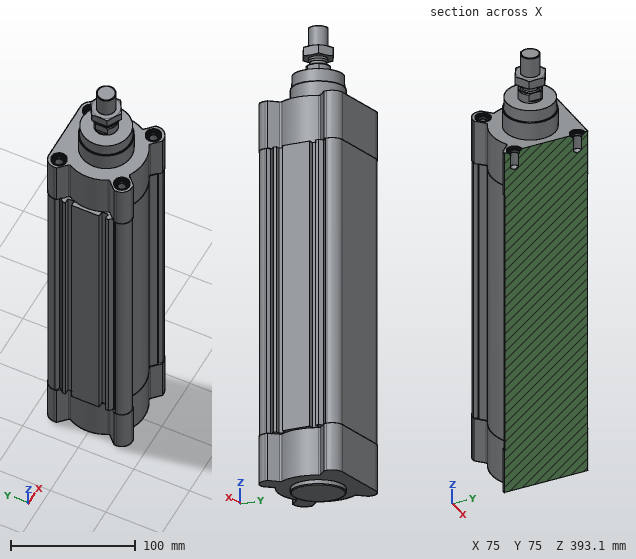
import cadquery as cq
import math

SPIGOT_HEIGHT = 4.1
CAP_HEIGHT = 40.0
TUBE_LENGTH = 241.0
COLLAR_HEIGHT = 16.5
SCRAPER_HEIGHT = 10.5
SHOULDER_HEIGHT = 8.6
THREAD_LENGTH = 32.4

REAR_CAP_Z = SPIGOT_HEIGHT
TUBE_Z = REAR_CAP_Z + CAP_HEIGHT
HEAD_CAP_Z = TUBE_Z + TUBE_LENGTH
HEAD_FACE_Z = HEAD_CAP_Z + CAP_HEIGHT
SCRAPER_Z = HEAD_FACE_Z + COLLAR_HEIGHT
SCRAPER_TOP_Z = SCRAPER_Z + SCRAPER_HEIGHT
SHOULDER_Z = SCRAPER_TOP_Z + SHOULDER_HEIGHT
ROD_TOP_Z = SHOULDER_Z + THREAD_LENGTH

HALF_WIDTH = 37.5
SCREW_OFFSET = 28.25
BARREL_RADIUS = 34.5
JUNCTION_RADIUS = 1.5
TUBE_INSET = 0.25
CAP_WALL_START = 25.8

GROOVE_OUTER = 27.1
GROOVE_FLOOR_OUTER = 24.8
GROOVE_FLOOR_INNER = 23.6
GROOVE_FLOOR = 34.3

PLATE_HALF_WIDTH = 12.4
SLOT_EDGE = 18.0
SLOT_FLOOR = 32.5

COLLAR_DIAMETER = 45.0
COLLAR_CHAMFER = 0.6
SPIGOT_CHAMFER = 0.8
SCRAPER_BASE_DIAMETER = 43.0
SCRAPER_TOP_DIAMETER = 42.4

SCREW_STEPS = [(13.2, 0.6), (12.0, 1.2), (10.4, 1.8), (8.8, 2.4), (8.0, 4.0), (6.65, 16.0)]
DRILL_TIP_ANGLE = 118.0

ROD_DIAMETER = 20.0
ROD_FLATS = 17.0
FLATS_GAP = 1.5
ROD_CHAMFER = 0.8
ROD_SEAT_DEPTH = CAP_HEIGHT
TIP_DIAMETER = 14.38
TIP_HEIGHT = 0.4
THREAD_DIAMETER = 16.0
NECK_DIAMETER = 13.9
NECK_TOP = 4.7
NECK_TAPER = 1.6
NECK_FOOT = 0.8
NUT_SIDES = 6
NUT_FLATS = 24.0
NUT_HEIGHT = 8.0
NUT_CHAMFER_DIAMETER = 23.6
NUT_CHAMFER_HEIGHT = 0.5
NUT_DISTANCE = 17.9
NUT_Z = ROD_TOP_Z - NUT_DISTANCE - NUT_HEIGHT


def barrel_point(radius, wall_offset):
    """Where a 45 degree boss wall, out = along + wall_offset, meets the round barrel."""
    along = (math.sqrt(2 * radius**2 - wall_offset**2) - wall_offset) / 2
    return along, along + wall_offset


def trace(outline, points):
    for point in points:
        outline = outline.lineTo(*point)
    return outline


def draw_top(outer):
    """Outline from the middle of the flat +Y edge round the +X +Y corner."""
    corner_mid = SCREW_OFFSET + (outer - SCREW_OFFSET) / math.sqrt(2)
    outline = cq.Workplane("XY").moveTo(0, outer).lineTo(SCREW_OFFSET, outer)
    return outline.threePointArc((corner_mid, corner_mid), (outer, SCREW_OFFSET))


def draw_bottom(outline, outer, boss, junction, barrel_radius):
    """Outline on from the +X side: the +X -Y corner, its boss wall and the barrel to the Y axis."""
    corner_mid = SCREW_OFFSET + (outer - SCREW_OFFSET) / math.sqrt(2)
    outline = outline.lineTo(outer, -SCREW_OFFSET)
    outline = outline.threePointArc((corner_mid, -corner_mid), (SCREW_OFFSET, -outer))
    outline = trace(outline, [(y, -x) for x, y in boss])
    along, out = junction
    outline = outline.lineTo(along, -out)
    half_angle = math.atan2(along, out) / 2
    barrel_mid = (barrel_radius * math.sin(half_angle), -barrel_radius * math.cos(half_angle))
    return outline.threePointArc(barrel_mid, (0, -barrel_radius))


def extrude_section(outline, height, z, junctions):
    """Extrude the +X half outline, round its wall-to-barrel junctions and mirror it to a whole section."""
    half = outline.close().extrude(height)
    for x, y in junctions:
        nearest = cq.selectors.NearestToPointSelector((x, y, height / 2))
        half = half.edges(nearest).fillet(JUNCTION_RADIUS)
    return half.union(half.mirror("YZ")).translate((0, 0, z))


def cap(z):
    """End cap with its rear face at height z."""
    along, out = barrel_point(BARREL_RADIUS, HALF_WIDTH - CAP_WALL_START)
    boss = [(HALF_WIDTH, CAP_WALL_START)]
    outline = trace(draw_top(HALF_WIDTH), boss + [(out, along)])
    outline = outline.threePointArc((BARREL_RADIUS, 0), (out, -along))
    outline = outline.lineTo(HALF_WIDTH, -CAP_WALL_START)
    outline = draw_bottom(outline, HALF_WIDTH, boss, (along, out), BARREL_RADIUS)
    return extrude_section(outline, CAP_HEIGHT, z, [(out, along), (out, -along), (along, -out)])


def tube():
    """Barrel tube with grooved bosses, and a plate between two slots on each X side."""
    outer = HALF_WIDTH - TUBE_INSET
    barrel_radius = BARREL_RADIUS - TUBE_INSET
    along, out = barrel_point(barrel_radius, GROOVE_FLOOR - GROOVE_FLOOR_INNER)
    boss = [
        (outer, GROOVE_OUTER),
        (GROOVE_FLOOR, GROOVE_FLOOR_OUTER),
        (GROOVE_FLOOR, GROOVE_FLOOR_INNER),
    ]
    lip_and_slot = [
        (outer, GROOVE_FLOOR_INNER - (outer - GROOVE_FLOOR)),
        (outer, SLOT_EDGE),
        (SLOT_FLOOR, SLOT_EDGE),
        (SLOT_FLOOR, PLATE_HALF_WIDTH),
        (outer, PLATE_HALF_WIDTH),
    ]
    side = boss + lip_and_slot
    outline = trace(draw_top(outer), side)
    outline = trace(outline, [(x, -y) for x, y in reversed(side)])
    outline = draw_bottom(outline, outer, boss, (along, out), barrel_radius)
    return extrude_section(outline, TUBE_LENGTH, TUBE_Z, [(along, -out)])


def disc(diameter, height, z):
    return cq.Workplane("XY").workplane(offset=z).circle(diameter / 2).extrude(height)


def spigot():
    return disc(COLLAR_DIAMETER, SPIGOT_HEIGHT, 0).faces("<Z").chamfer(SPIGOT_CHAMFER)


def collar():
    return disc(COLLAR_DIAMETER, COLLAR_HEIGHT, HEAD_FACE_Z).faces(">Z").chamfer(COLLAR_CHAMFER)


def scraper():
    return (
        cq.Workplane("XY")
        .workplane(offset=SCRAPER_Z)
        .circle(SCRAPER_BASE_DIAMETER / 2)
        .workplane(offset=SCRAPER_HEIGHT)
        .circle(SCRAPER_TOP_DIAMETER / 2)
        .loft(combine=True)
    )


def screw_recess():
    """Stepped recess of one cap screw, with its mouth at the origin and a conical bottom."""
    profile = cq.Workplane("XZ").moveTo(0, 0)
    depth = 0
    for diameter, floor in SCREW_STEPS:
        profile = profile.lineTo(diameter / 2, -depth).lineTo(diameter / 2, -floor)
        depth = floor
    radius = SCREW_STEPS[-1][0] / 2
    tip = radius / math.tan(math.radians(DRILL_TIP_ANGLE / 2))
    profile = profile.lineTo(0, -depth - tip).close()
    return profile.revolve(360, (0, 0, 0), (0, 1, 0))


def make_housing():
    body = cap(REAR_CAP_Z).union(tube()).union(cap(HEAD_CAP_Z))
    body = body.union(spigot()).union(collar()).union(scraper())
    for x in (-SCREW_OFFSET, SCREW_OFFSET):
        for y in (-SCREW_OFFSET, SCREW_OFFSET):
            body = body.cut(screw_recess().translate((x, y, HEAD_FACE_Z)))
    seat_z = HEAD_FACE_Z - ROD_SEAT_DEPTH
    return body.cut(disc(ROD_DIAMETER, SCRAPER_TOP_Z - seat_z, seat_z))


def make_rod():
    thread_radius = THREAD_DIAMETER / 2
    neck_radius = NECK_DIAMETER / 2
    shank_z = HEAD_FACE_Z - ROD_SEAT_DEPTH
    neck_top_z = SHOULDER_Z + NECK_TOP
    rod = (
        cq.Workplane("XZ")
        .moveTo(0, shank_z)
        .lineTo(ROD_DIAMETER / 2, shank_z)
        .lineTo(ROD_DIAMETER / 2, SHOULDER_Z - ROD_CHAMFER)
        .lineTo(ROD_DIAMETER / 2 - ROD_CHAMFER, SHOULDER_Z)
        .lineTo(thread_radius, SHOULDER_Z)
        .lineTo(neck_radius, SHOULDER_Z + NECK_FOOT)
        .lineTo(neck_radius, neck_top_z - NECK_TAPER)
        .lineTo(thread_radius, neck_top_z)
        .lineTo(thread_radius, ROD_TOP_Z - TIP_HEIGHT)
        .lineTo(TIP_DIAMETER / 2, ROD_TOP_Z)
        .lineTo(0, ROD_TOP_Z)
        .close()
        .revolve(360, (0, 0, 0), (0, 1, 0))
    )
    flats_z = SCRAPER_TOP_Z + FLATS_GAP
    cheek_depth = (ROD_DIAMETER - ROD_FLATS) / 2
    for side in (-1, 1):
        cheek = cq.Workplane("XY").box(
            cheek_depth, ROD_DIAMETER, SHOULDER_Z - flats_z, centered=(True, True, False)
        )
        rod = rod.cut(cheek.translate((side * (ROD_FLATS + cheek_depth) / 2, 0, flats_z)))
    return rod


def make_nut():
    half_side_angle = 180 / NUT_SIDES
    corner_diameter = NUT_FLATS / math.cos(math.radians(half_side_angle))
    chamfer_width = (corner_diameter - NUT_CHAMFER_DIAMETER) / 2
    nut = (
        cq.Workplane("XY")
        .workplane(offset=NUT_Z)
        .transformed(rotate=(0, 0, half_side_angle))
        .polygon(NUT_SIDES, corner_diameter)
        .circle(THREAD_DIAMETER / 2)
        .extrude(NUT_HEIGHT)
    )
    envelope = disc(corner_diameter, NUT_HEIGHT, NUT_Z)
    for end in (">Z", "<Z"):
        envelope = envelope.faces(end).chamfer(NUT_CHAMFER_HEIGHT, chamfer_width)
    return nut.intersect(envelope)


housing = make_housing()
rod = make_rod()
nut = make_nut()
result = cq.Compound.makeCompound([housing.val(), rod.val(), nut.val()])